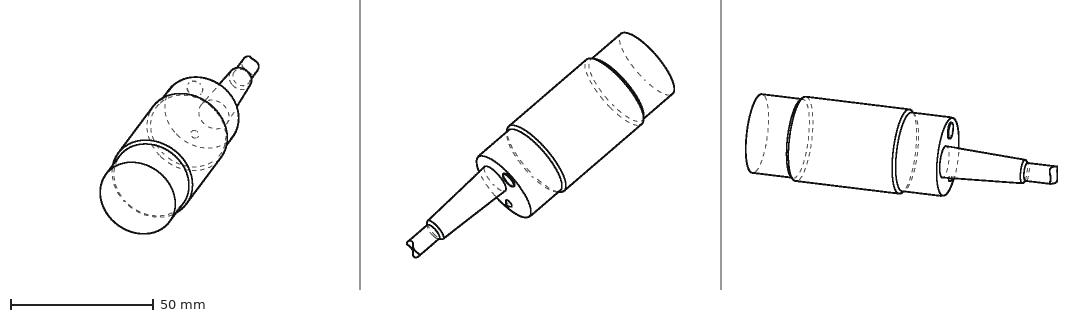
import cadquery as cq

total_length = 111.0

body_diameter = 28.0
body_length = 70.0
rear_bevel_length = 0.8
rear_bevel_depth = 0.17
sleeve_diameter = 30.0
sleeve_start = 15.0
sleeve_end = 55.0
sleeve_chamfer = (sleeve_diameter - body_diameter) / 2

cable_offset = 4.4
cable_diameter = 6.4
relief_base_diameter = 11.2
relief_end = 100.2
relief_chamfer = 1.0
relief_tip_diameter = cable_diameter + 2 * relief_chamfer
break_depth = 0.83

rear_detail_x = -2.7
rear_detail_z = 9.0
adjuster_diameter = 5.8
adjuster_rim = 0.3
adjuster_height = 0.7
lamp_diameter = 3.0
lamp_rim = 0.0
lamp_height = 1.0


def rod(diameter, start, end, x=0.0, z=0.0):
    """Cylinder along Y between two stations."""
    plane = cq.Plane(origin=(x, start, z), xDir=(1, 0, 0), normal=(0, 1, 0))
    return cq.Workplane(plane).circle(diameter / 2).extrude(end - start)


def make_housing():
    sleeve = rod(sleeve_diameter, sleeve_start, sleeve_end).edges().chamfer(sleeve_chamfer)
    body = rod(body_diameter, 0, body_length)
    body = body.faces(">Y").chamfer(rear_bevel_length, rear_bevel_depth)
    return body.union(sleeve)


def make_strain_relief():
    outline = [
        (0, body_length),
        (relief_base_diameter / 2, body_length),
        (relief_tip_diameter / 2, relief_end - relief_chamfer),
        (cable_diameter / 2, relief_end),
        (0, relief_end),
    ]
    profile = cq.Workplane("XY").polyline(outline).close()
    return profile.revolve(360, (0, 0, 0), (0, 1, 0)).translate((cable_offset, 0, 0))


def make_cable():
    """Cable whose cut end is an S-wave: a crest on the -X half and a hollow on the +X half."""
    radius = cable_diameter / 2
    mean_end = total_length - break_depth
    side = (
        cq.Workplane("XY")
        .moveTo(-radius, relief_end)
        .lineTo(-radius, mean_end)
        .threePointArc((-radius / 2, mean_end + break_depth), (0, mean_end))
        .threePointArc((radius / 2, mean_end - break_depth), (radius, mean_end))
        .lineTo(radius, relief_end)
        .close()
        .extrude(radius, both=True)
        .translate((cable_offset, 0, 0))
    )
    return rod(cable_diameter, relief_end, total_length, cable_offset).intersect(side)


def make_button(diameter, rim_height, total_height, z):
    """Button on the rear face: a straight rim topped by a spherical crown."""
    rim_radius = diameter / 2
    crown_height = total_height - rim_height
    sphere_radius = (rim_radius**2 + crown_height**2) / (2 * crown_height)
    top = body_length + total_height
    sphere = cq.Workplane("XY").sphere(sphere_radius)
    sphere = sphere.translate((rear_detail_x, top - sphere_radius, z))
    return sphere.intersect(rod(diameter, body_length, top, rear_detail_x, z))


result = make_housing()
for piece in (
    make_strain_relief(),
    make_cable(),
    make_button(adjuster_diameter, adjuster_rim, adjuster_height, rear_detail_z),
    make_button(lamp_diameter, lamp_rim, lamp_height, -rear_detail_z),
):
    result = result.union(piece)